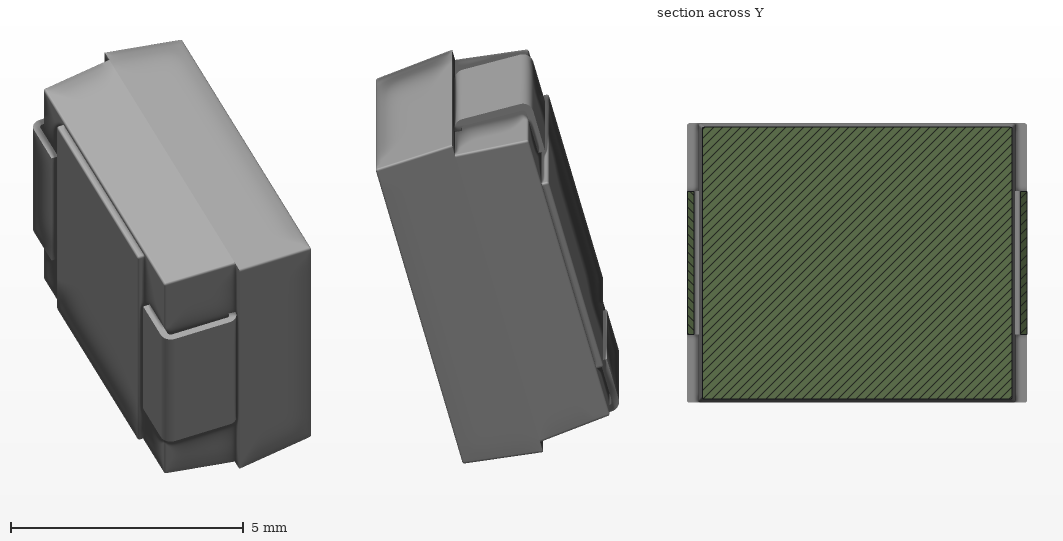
import cadquery as cq
import math

LENGTH = 7.3
DEPTH = 3.5
HEIGHT = 6.0

DRAFT_ANGLE = 5.0
EDGE_RADIUS = 0.05
STEP_WIDTH = 0.24
PAD_LENGTH = 4.4
PAD_HEIGHT = 5.52

LEAD_THICKNESS = 0.15
LEAD_WIDTH = 3.08
FOOT_LENGTH = 1.18
OUTER_BEND_RADIUS = 0.23

BACK_DEPTH = DEPTH / 2
FRONT_DEPTH = DEPTH / 2 - LEAD_THICKNESS
FRONT_LENGTH = LENGTH - 2 * STEP_WIDTH


def make_back_half():
    half = cq.Workplane("ZX").rect(HEIGHT, LENGTH).extrude(BACK_DEPTH, taper=DRAFT_ANGLE)
    return half.edges("not <Y").fillet(EDGE_RADIUS)


def make_front_half():
    half = cq.Workplane("XZ").rect(FRONT_LENGTH, HEIGHT).extrude(FRONT_DEPTH, taper=DRAFT_ANGLE)
    return half.edges("not >Y").fillet(EDGE_RADIUS)


def make_pad():
    pad = cq.Workplane("XZ", origin=(0, -FRONT_DEPTH, 0)).rect(PAD_LENGTH, PAD_HEIGHT).extrude(LEAD_THICKNESS)
    return pad.edges("not >Y").fillet(EDGE_RADIUS)


def make_housing():
    return make_back_half().union(make_front_half()).union(make_pad())


def make_lead(side):
    """Lead at the +X end (side = 1) or the -X end (side = -1)."""
    outer_x = side * LENGTH / 2
    inner_x = side * (LENGTH / 2 - LEAD_THICKNESS)
    bend_x = side * (LENGTH / 2 - OUTER_BEND_RADIUS)
    foot_x = side * (LENGTH / 2 - FOOT_LENGTH)
    wall_x = side * FRONT_LENGTH / 2
    wall_inner_x = wall_x - side * LEAD_THICKNESS * math.tan(math.radians(DRAFT_ANGLE))

    front_y = -DEPTH / 2
    front_bend_y = front_y + OUTER_BEND_RADIUS
    inner_bend_radius = OUTER_BEND_RADIUS - LEAD_THICKNESS
    outer_diagonal = OUTER_BEND_RADIUS * math.sqrt(0.5)
    inner_diagonal = inner_bend_radius * math.sqrt(0.5)

    return (
        cq.Workplane("XY", origin=(0, 0, -LEAD_WIDTH / 2))
        .moveTo(wall_x, 0)
        .lineTo(bend_x, 0)
        .threePointArc(
            (bend_x + side * outer_diagonal, outer_diagonal - OUTER_BEND_RADIUS),
            (outer_x, -OUTER_BEND_RADIUS),
        )
        .lineTo(outer_x, front_bend_y)
        .threePointArc(
            (bend_x + side * outer_diagonal, front_bend_y - outer_diagonal),
            (bend_x, front_y),
        )
        .lineTo(foot_x, front_y)
        .lineTo(foot_x, -FRONT_DEPTH)
        .lineTo(bend_x, -FRONT_DEPTH)
        .threePointArc(
            (bend_x + side * inner_diagonal, front_bend_y - inner_diagonal),
            (inner_x, front_bend_y),
        )
        .lineTo(inner_x, -OUTER_BEND_RADIUS)
        .threePointArc(
            (bend_x + side * inner_diagonal, inner_diagonal - OUTER_BEND_RADIUS),
            (bend_x, -LEAD_THICKNESS),
        )
        .lineTo(wall_inner_x, -LEAD_THICKNESS)
        .close()
        .extrude(LEAD_WIDTH)
    )


housing = make_housing()
leads = [make_lead(side) for side in (-1, 1)]

result = cq.Compound.makeCompound([housing.val(), *[lead.val() for lead in leads]])